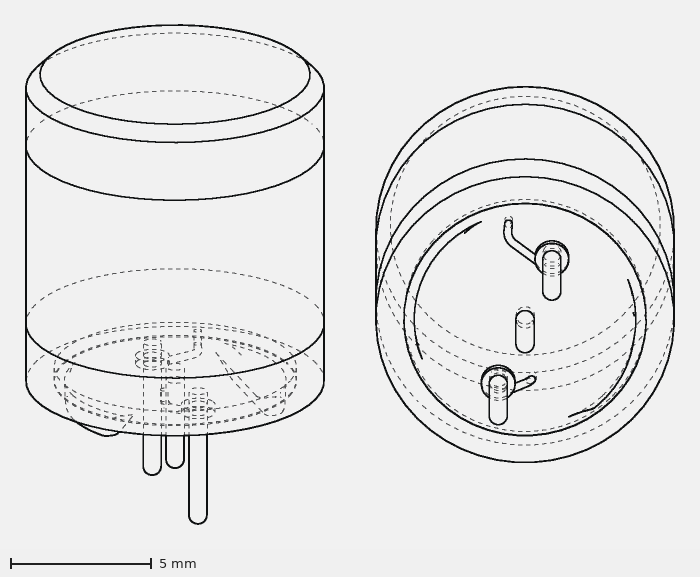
import cadquery as cq
import math

OVERALL_H = 16.2
HOUSING_D = 10.6
HOUSING_H = 11.7
LOWER_CAP_H = 2.2
UPPER_CAP_H = 2.7
TOP_CHAMFER = 0.5

BASE_D = 8.6
BASE_Z = 0.05
BASE_T = 0.5
BASE_TOP = BASE_Z + BASE_T

FOOT_BOTTOM_Z = -1.0
FOOT_TOP_R = 3.94
FOOT_BOTTOM_R = 3.89
FOOT_TOP_INNER = 2.27
FOOT_BOTTOM_INNER = 2.75
FOOT_TOP_HALF_W = 2.58
FOOT_BOTTOM_HALF_W = 1.93
FOOT_FILLET = 0.2
FOOT_CORNER_R = 0.3
ROOT_MARGIN = 0.02
FOOT_AZIMUTHS = (45, 225)

PIN_D = 0.65
PIN_R = PIN_D / 2
PIN_CIRCLE_R = 2.5
PIN_AZIMUTHS = (-45, 135)
LONG_PIN_DROP = OVERALL_H - HOUSING_H
SHORT_PIN_DROP = 3.3

COLLAR_D = 1.2
COLLAR_H = 0.3

WIRE_D = 0.28
WIRE_OFFSET = 0.39
WIRE_Z = BASE_Z - COLLAR_H / 2

INNER_WIRE_AZIMUTH = 180
INNER_WIRE_RUN = 0.85
INNER_WIRE_BEND_R = 0.3

OUTER_WIRE_AZIMUTH = 60
OUTER_WIRE_RUN = 1.41
OUTER_WIRE_TURN = 60
OUTER_WIRE_TURN_R = 0.53
OUTER_WIRE_BEND_R = 0.2


def polar(radius, azimuth, z=0.0):
    angle = math.radians(azimuth)
    return cq.Vector(radius * math.cos(angle), radius * math.sin(angle), z)


def make_lower_cap():
    cap = cq.Workplane("XY").circle(HOUSING_D / 2).extrude(LOWER_CAP_H)
    recess = cq.Workplane("XY").circle(BASE_D / 2).extrude(BASE_TOP)
    return cap.cut(recess)


def make_sleeve():
    height = HOUSING_H - LOWER_CAP_H - UPPER_CAP_H
    return cq.Workplane("XY").workplane(offset=LOWER_CAP_H).circle(HOUSING_D / 2).extrude(height)


def make_upper_cap():
    bottom = HOUSING_H - UPPER_CAP_H
    cap = cq.Workplane("XY").workplane(offset=bottom).circle(HOUSING_D / 2).extrude(UPPER_CAP_H)
    return cap.faces(">Z").edges().chamfer(TOP_CHAMFER)


def make_pin(center, drop):
    shank_bottom = PIN_R - drop
    tip_turn = PIN_R * math.sqrt(0.5)
    profile = (
        cq.Workplane("XZ")
        .moveTo(0, BASE_TOP)
        .lineTo(PIN_R, BASE_TOP)
        .lineTo(PIN_R, shank_bottom)
        .threePointArc((tip_turn, shank_bottom - tip_turn), (0, -drop))
        .close()
    )
    return profile.revolve(360, (0, 0), (0, 1)).translate(center)


def make_lead(pin_center, start, path, azimuth):
    wire = cq.Workplane(cq.Plane(origin=start, normal=polar(1, azimuth))).circle(WIRE_D / 2).sweep(path)
    collar_base = cq.Workplane("XY", origin=(pin_center.x, pin_center.y, BASE_Z - COLLAR_H))
    collar = collar_base.circle(COLLAR_D / 2).extrude(COLLAR_H)
    pin_hole = collar_base.circle(PIN_R).extrude(COLLAR_H)
    return collar.union(wire).cut(pin_hole)


def rising_end(start, azimuth, bend_r):
    """A quarter bend from the horizontal up to the vertical, then a straight to the plate's top."""
    half_way = bend_r * math.sqrt(0.5)
    middle = start + polar(half_way, azimuth, bend_r - half_way)
    end = start + polar(bend_r, azimuth, bend_r)
    top = cq.Vector(end.x, end.y, BASE_TOP)
    return [cq.Edge.makeThreePointArc(start, middle, end), cq.Edge.makeLine(end, top)]


def wire_start(pin_center, azimuth, side):
    """Start point inside the collar; side is +90 or -90 degrees from the wire's direction."""
    return pin_center + polar(WIRE_OFFSET, azimuth + side, WIRE_Z)


def make_inner_lead(pin_center):
    start = wire_start(pin_center, INNER_WIRE_AZIMUTH, 90)
    bend = start + polar(INNER_WIRE_RUN, INNER_WIRE_AZIMUTH)
    edges = [cq.Edge.makeLine(start, bend)]
    edges += rising_end(bend, INNER_WIRE_AZIMUTH, INNER_WIRE_BEND_R)
    return make_lead(pin_center, start, cq.Wire.assembleEdges(edges), INNER_WIRE_AZIMUTH)


def make_outer_lead(pin_center):
    start = wire_start(pin_center, OUTER_WIRE_AZIMUTH, -90)
    turn = start + polar(OUTER_WIRE_RUN, OUTER_WIRE_AZIMUTH)
    turn_center = turn + polar(OUTER_WIRE_TURN_R, OUTER_WIRE_AZIMUTH + 90)
    outward = OUTER_WIRE_AZIMUTH - 90
    turn_middle = turn_center + polar(OUTER_WIRE_TURN_R, outward + OUTER_WIRE_TURN / 2)
    turn_end = turn_center + polar(OUTER_WIRE_TURN_R, outward + OUTER_WIRE_TURN)
    edges = [cq.Edge.makeLine(start, turn), cq.Edge.makeThreePointArc(turn, turn_middle, turn_end)]
    edges += rising_end(turn_end, OUTER_WIRE_AZIMUTH + OUTER_WIRE_TURN, OUTER_WIRE_BEND_R)
    return make_lead(pin_center, start, cq.Wire.assembleEdges(edges), OUTER_WIRE_AZIMUTH)


def make_plate():
    return cq.Workplane("XY", origin=(0, 0, BASE_Z)).circle(BASE_D / 2).extrude(BASE_T)


def trapezoid(plane, top_span, bottom_span):
    """A closed outline as deep as the feet; each span is (low, high) across the plane."""
    return (
        cq.Workplane(plane)
        .polyline([
            (top_span[0], BASE_Z),
            (top_span[1], BASE_Z),
            (bottom_span[1], FOOT_BOTTOM_Z),
            (bottom_span[0], FOOT_BOTTOM_Z),
        ])
        .close()
    )


def make_foot():
    """A foot on the +X side: a cone trimmed by a sloping inner wall and two sloping end walls."""
    cone = trapezoid("XZ", (0, FOOT_TOP_R), (0, FOOT_BOTTOM_R)).revolve(360, (0, 0), (0, 1))
    inner_limit = trapezoid("XZ", (FOOT_TOP_INNER, BASE_D), (FOOT_BOTTOM_INNER, BASE_D))
    end_limit = trapezoid(
        "YZ",
        (-FOOT_TOP_HALF_W, FOOT_TOP_HALF_W),
        (-FOOT_BOTTOM_HALF_W, FOOT_BOTTOM_HALF_W),
    )
    foot = cone.intersect(inner_limit.extrude(BASE_D, both=True)).intersect(end_limit.extrude(BASE_D))
    upright = "(not #Z) and (not <Z) and (not >Z)"
    foot = foot.edges(upright).fillet(FOOT_CORNER_R)
    foot = foot.faces("<Z").edges().fillet(FOOT_FILLET)

    rooted = foot.union(make_plate())
    root = cq.selectors.BoxSelector(
        (0, -FOOT_TOP_R, BASE_Z - ROOT_MARGIN),
        (FOOT_TOP_R, FOOT_TOP_R, BASE_Z + ROOT_MARGIN),
        boundingbox=True,
    )
    return rooted.edges(root).fillet(FOOT_CORNER_R).intersect(cone)


def make_base(inserts):
    base = make_plate()
    foot = make_foot()
    for azimuth in FOOT_AZIMUTHS:
        base = base.union(foot.rotate((0, 0, 0), (0, 0, 1), azimuth))
    for insert in inserts:
        base = base.cut(insert)
    return base


pin_centers = [polar(PIN_CIRCLE_R, azimuth) for azimuth in PIN_AZIMUTHS]
pins = [make_pin(center, LONG_PIN_DROP) for center in pin_centers]
pins.append(make_pin(cq.Vector(), SHORT_PIN_DROP))

inner_lead = make_inner_lead(pin_centers[0])
outer_lead = make_outer_lead(pin_centers[1])
base = make_base(pins + [inner_lead, outer_lead])

result = cq.Compound.makeCompound([
    make_lower_cap().val(),
    make_sleeve().val(),
    make_upper_cap().val(),
    base.val(),
    *[pin.val() for pin in pins],
    inner_lead.val(),
    outer_lead.val(),
])